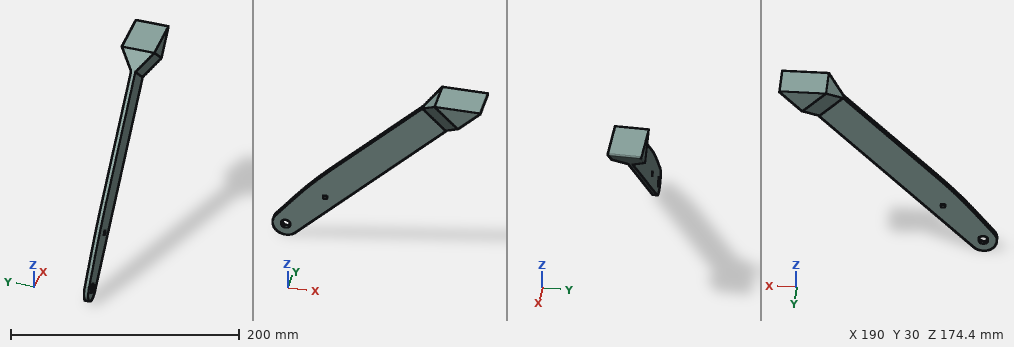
import cadquery as cq
import math

ARM_ANGLE = 45.0
PLATE_THICKNESS = 4.0
PIVOT_RADIUS = 12.0
PIVOT_HOLE_DIAMETER = 8.4
SMALL_HOLE_DIAMETER = 4.0
SMALL_HOLE_DISTANCE = 50.0
ARM_WIDTH = 30.0
BEND_DISTANCE = 50.0
BEND_RADIUS = 400.0

HEAD_WIDTH = 30.0
FLARE_LENGTH = 19.8
HEAD_EDGE_RADIUS = 1.0
TOTAL_HEIGHT = 174.4

TOP_Z = TOTAL_HEIGHT - PIVOT_RADIUS
LOWER_EDGE = -PIVOT_RADIUS
UPPER_EDGE = LOWER_EDGE + ARM_WIDTH
FLARE_END = TOP_Z * math.sqrt(2) - UPPER_EDGE
FLARE_START = FLARE_END - FLARE_LENGTH
ARM_REACH = TOP_Z * math.sqrt(2) - LOWER_EDGE


def turn_to_arm(shape):
    """Turn a shape built along X up to the arm's slope."""
    return shape.rotate((0, 0, 0), (0, 1, 0), -ARM_ANGLE)


def make_plate():
    """Flat arm: round pivot end, tapered upper edge, then parallel edges."""
    bend_reach = math.hypot(BEND_DISTANCE, UPPER_EDGE)
    bend_direction = math.atan2(UPPER_EDGE, BEND_DISTANCE)
    taper = bend_direction - math.asin(PIVOT_RADIUS / bend_reach)
    tangent_point = (-PIVOT_RADIUS * math.sin(taper), PIVOT_RADIUS * math.cos(taper))

    bend_tangent = BEND_RADIUS * math.tan(taper / 2)
    bend_start = (
        BEND_DISTANCE - bend_tangent * math.cos(taper),
        UPPER_EDGE - bend_tangent * math.sin(taper),
    )
    bend_end = (BEND_DISTANCE + bend_tangent, UPPER_EDGE)

    plate = (
        cq.Workplane("XZ")
        .moveTo(0, LOWER_EDGE)
        .threePointArc((-PIVOT_RADIUS, 0), tangent_point)
        .lineTo(*bend_start)
        .tangentArcPoint(bend_end, relative=False)
        .lineTo(FLARE_END, UPPER_EDGE)
        .lineTo(FLARE_END, LOWER_EDGE)
        .close()
        .extrude(PLATE_THICKNESS / 2, both=True)
    )
    return turn_to_arm(plate)


def make_head():
    """Wide block that flares out of the plate, level on top and rounded below."""
    half_plate = PLATE_THICKNESS / 2
    half_head = HEAD_WIDTH / 2
    block = (
        cq.Workplane("XY")
        .workplane(offset=LOWER_EDGE)
        .polyline([
            (FLARE_START, -half_plate),
            (FLARE_END, -half_head),
            (ARM_REACH, -half_head),
            (ARM_REACH, half_head),
            (FLARE_END, half_head),
            (FLARE_START, half_plate),
        ])
        .close()
        .extrude(ARM_WIDTH)
    )
    envelope = cq.Workplane("XY").box(ARM_REACH, HEAD_WIDTH, TOP_Z, centered=(False, True, False))
    head = turn_to_arm(block).intersect(envelope)

    underside_direction = cq.Vector(1, 0, -1)
    underside = head.faces(cq.selectors.DirectionMinMaxSelector(underside_direction))
    narrow_edge = cq.selectors.DirectionMinMaxSelector(cq.Vector(1, 0, 1), False)
    return underside.edges(
        cq.selectors.InverseSelector(narrow_edge)
    ).fillet(HEAD_EDGE_RADIUS)


def make_hole(distance, diameter):
    """Round cutter through the plate at a distance along the arm."""
    cutter = (
        cq.Workplane("XZ")
        .center(distance, 0)
        .circle(diameter / 2)
        .extrude(PLATE_THICKNESS, both=True)
    )
    return turn_to_arm(cutter)


result = (
    make_plate()
    .union(make_head())
    .cut(make_hole(0, PIVOT_HOLE_DIAMETER))
    .cut(make_hole(SMALL_HOLE_DISTANCE, SMALL_HOLE_DIAMETER))
)